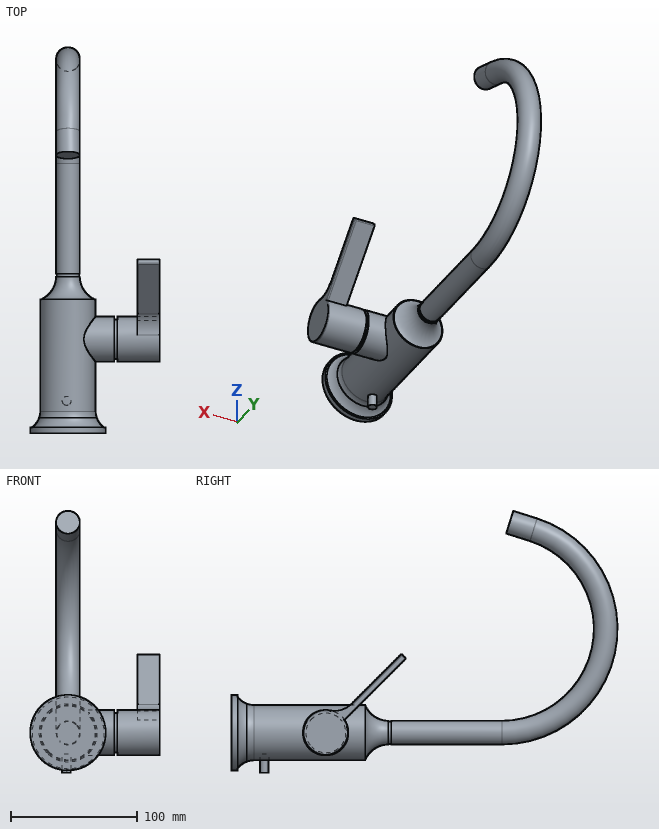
import cadquery as cq
import math


flange_radius = 30.0
flange_thickness = 5.0
flare_root_radius = 28.5
base_joint_y = 12.2
flare_top_y = 17.8
housing_radius = 22.0
shoulder_y = 106.2
neck_root_radius = 21.5
neck_mid_radius = 13.2
neck_mid_y = 113.0
neck_end_y = 124.3

spout_radius = 9.5
groove_radius = 9.03
groove_width = 2.5
overall_length = 306.2
bend_start_y = 214.3
bend_radius = overall_length - bend_start_y - spout_radius
bend_angle = math.radians(162.4)
spout_tip_length = 19.5

arm_y = 74.7
arm_radius = 18.0
arm_end_x = 36.7
arm_neck_radius = 15.77
arm_gap = 2.5
lever_start_x = arm_end_x + arm_gap
lever_end_x = 73.0
lever_end_fillet = 0.5
handle_width = 18.0
handle_thickness = 5.2
handle_reach = 86.5
handle_offset = 1.0
handle_angle = 45.0
handle_edge_fillet = 1.0
blend_radius = 18.5

pin_radius = 3.52
pin_x = -1.2
pin_y = 26.0
pin_bottom_z = -31.8
pin_top_z = -16.8


def revolve_about_y(outline):
    return outline.close().revolve(360, (0, 0, 0), (0, 1, 0))


def cylinder_along_x(radius, start_x, end_x):
    plane = cq.Workplane("YZ", origin=(start_x, arm_y, 0))
    return plane.circle(radius).extrude(end_x - start_x)


def flare_arc():
    """Centre and radius of the flare arc, tangent to the housing at flare_top_y."""
    drop = flare_top_y - flange_thickness
    spread = flare_root_radius - housing_radius
    radius = (drop**2 + spread**2) / (2 * spread)
    return housing_radius + radius, radius


def flare_point(y):
    centre_r, radius = flare_arc()
    return centre_r - math.sqrt(radius**2 - (flare_top_y - y)**2), y


def make_base():
    outline = (
        cq.Workplane("XY")
        .lineTo(flange_radius, 0)
        .lineTo(flange_radius, flange_thickness)
        .lineTo(flare_root_radius, flange_thickness)
        .threePointArc(flare_point((flange_thickness + base_joint_y) / 2), flare_point(base_joint_y))
        .lineTo(0, base_joint_y)
    )
    return revolve_about_y(outline)


def make_pin():
    plane = cq.Workplane("XY", origin=(pin_x, pin_y, pin_bottom_z))
    return plane.circle(pin_radius).extrude(pin_top_z - pin_bottom_z)


def make_housing():
    outline = (
        cq.Workplane("XY")
        .moveTo(0, base_joint_y)
        .lineTo(*flare_point(base_joint_y))
        .threePointArc(flare_point((base_joint_y + flare_top_y) / 2), (housing_radius, flare_top_y))
        .lineTo(housing_radius, shoulder_y)
        .lineTo(neck_root_radius, shoulder_y)
        .threePointArc((neck_mid_radius, neck_mid_y), (spout_radius, neck_end_y))
        .lineTo(0, neck_end_y)
    )
    arm = cylinder_along_x(arm_radius, 0, arm_end_x)
    arm_neck = cylinder_along_x(arm_neck_radius, 0, lever_start_x)
    return revolve_about_y(outline).union(arm).union(arm_neck).cut(make_pin())


def make_spout():
    def bend_point(angle):
        return bend_start_y + bend_radius * math.sin(angle), bend_radius * (1 - math.cos(angle))

    bend_end = bend_point(bend_angle)
    tip = (
        bend_end[0] + spout_tip_length * math.cos(bend_angle),
        bend_end[1] + spout_tip_length * math.sin(bend_angle),
    )
    tube_start_y = neck_end_y + groove_width
    path = (
        cq.Workplane("YZ")
        .moveTo(tube_start_y, 0)
        .lineTo(bend_start_y, 0)
        .threePointArc(bend_point(bend_angle / 2), bend_end)
        .lineTo(*tip)
    )
    tube = cq.Workplane("XZ", origin=(0, tube_start_y, 0)).circle(spout_radius).sweep(path)
    groove = cq.Workplane("XZ", origin=(0, tube_start_y, 0)).circle(groove_radius).extrude(groove_width)
    return tube.union(groove)


def make_handle_plate():
    """Flat bar built along +Y from the lever axis, then tilted upward."""
    plate = (
        cq.Workplane("XY", origin=(lever_end_x - handle_width / 2, 0, -handle_offset))
        .box(handle_width, handle_reach, handle_thickness, centered=(True, False, True))
        .edges("|Y or >Y")
        .fillet(handle_edge_fillet)
    )
    return plate.rotate((0, 0, 0), (1, 0, 0), handle_angle).translate((0, arm_y, 0))


def make_handle_blend():
    """Concave web tangent to both the lever barrel and the upper face of the handle."""
    tilt = math.radians(handle_angle)
    face_height = handle_thickness / 2 - handle_offset
    centre_above = face_height + blend_radius
    centre_along = math.sqrt((arm_radius + blend_radius)**2 - centre_above**2)

    def tilted(along, above):
        return (
            arm_y + along * math.cos(tilt) - above * math.sin(tilt),
            along * math.sin(tilt) + above * math.cos(tilt),
        )

    contact = arm_radius / (arm_radius + blend_radius)
    barrel_end = (centre_along * contact, centre_above * contact)
    face_end = (centre_along, face_height)
    sweep = math.atan2(centre_along, centre_above)
    middle = (
        centre_along - blend_radius * math.sin(sweep / 2),
        centre_above - blend_radius * math.cos(sweep / 2),
    )
    return (
        cq.Workplane("YZ", origin=(lever_end_x - handle_width, 0, 0))
        .moveTo(*tilted(0, 0))
        .lineTo(*tilted(*barrel_end))
        .threePointArc(tilted(*middle), tilted(*face_end))
        .lineTo(*tilted(centre_along, 0))
        .close()
        .extrude(handle_width)
    )


def make_lever():
    barrel = cylinder_along_x(arm_radius, lever_start_x, lever_end_x)
    barrel = barrel.faces(">X").edges().fillet(lever_end_fillet)
    return barrel.union(make_handle_plate()).union(make_handle_blend())


base = make_base()
housing = make_housing()
spout = make_spout()
lever = make_lever()
pin = make_pin()

result = cq.Compound.makeCompound([
    base.val(),
    housing.val(),
    spout.val(),
    lever.val(),
    pin.val(),
])